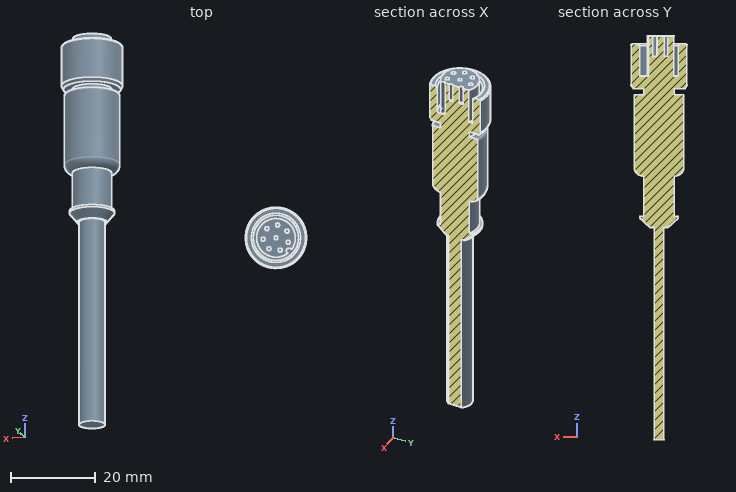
import cadquery as cq


TOTAL_HEIGHT = 95.35
NUT_TOP = 93.5
NUT_BOTTOM = 82.9
GRIP_TOP = 81.5
GRIP_BOTTOM = 62.2
FLANGE_TOP = 52.8
FLANGE_BOTTOM = 52.25
CONE_BOTTOM = 50.1

CABLE_DIAMETER = 6.2
CONE_END_DIAMETER = 7.1
FLANGE_DIAMETER = 10.7
NECK_DIAMETER = 9.3
GRIP_DIAMETER = 13.2
NUT_DIAMETER = 14.5
INSERT_DIAMETER = 9.2

GRIP_TOP_ROUND = 0.3
GRIP_BOTTOM_ROUND = 2.1
NUT_TOP_CHAMFER = 0.3
NUT_BOTTOM_CHAMFER_WIDTH = 0.5
NUT_BOTTOM_CHAMFER_HEIGHT = 0.9

BORE_DIAMETER = 10.7
BORE_DEPTH = 7.6
BORE_CHAMFER = 0.5

CONTACT_COUNT = 7
CONTACT_DIAMETER = 1.0
CENTRE_CONTACT_DIAMETER = 0.9
CONTACT_CIRCLE_DIAMETER = 6.1
FIRST_CONTACT_ANGLE = 83.0
CONTACT_DEPTH = 4.8
NOTCH_WIDTH = 1.3
NOTCH_CENTRE_RADIUS = 4.4
NOTCH_ANGLE = -45.0


def cylinder(diameter, bottom, top):
    """Cylinder about Z between two heights."""
    return cq.Workplane("XY").workplane(offset=bottom).circle(diameter / 2).extrude(top - bottom)


def make_cable_end():
    """Cable, strain-relief cone, flange and the neck running up to the nut."""
    cable = cylinder(CABLE_DIAMETER, 0, CONE_BOTTOM)
    cone = (
        cq.Workplane("XY").workplane(offset=CONE_BOTTOM).circle(CONE_END_DIAMETER / 2)
        .workplane(offset=FLANGE_BOTTOM - CONE_BOTTOM).circle(FLANGE_DIAMETER / 2)
        .loft(ruled=True)
    )
    flange = cylinder(FLANGE_DIAMETER, FLANGE_BOTTOM, FLANGE_TOP)
    neck = cylinder(NECK_DIAMETER, FLANGE_TOP, NUT_BOTTOM)
    return cable.union(cone).union(flange).union(neck)


def make_grip():
    """Moulded grip with a large round at the cable end and a small one at the nut end."""
    grip = cylinder(GRIP_DIAMETER, GRIP_BOTTOM, GRIP_TOP)
    grip = grip.faces("<Z").edges().fillet(GRIP_BOTTOM_ROUND)
    return grip.faces(">Z").edges().fillet(GRIP_TOP_ROUND)


def make_nut():
    """Coupling nut with a chamfered blind bore."""
    nut = cylinder(NUT_DIAMETER, NUT_BOTTOM, NUT_TOP)
    nut = nut.faces(">Z").edges().chamfer(NUT_TOP_CHAMFER)
    bottom_radius = NUT_DIAMETER / 2 - NUT_BOTTOM_CHAMFER_WIDTH
    chamfer_ring = (
        cq.Workplane("XZ")
        .moveTo(bottom_radius, NUT_BOTTOM)
        .lineTo(NUT_DIAMETER / 2, NUT_BOTTOM)
        .lineTo(NUT_DIAMETER / 2, NUT_BOTTOM + NUT_BOTTOM_CHAMFER_HEIGHT)
        .close()
        .revolve(360, (0, 0, 0), (0, 1, 0))
    )
    bore = cylinder(BORE_DIAMETER, NUT_TOP - BORE_DEPTH, NUT_TOP)
    nut = nut.cut(chamfer_ring).cut(bore)
    return nut.faces(">Z").edges(cq.selectors.RadiusNthSelector(0)).chamfer(BORE_CHAMFER)


def make_insert():
    """Contact carrier rising from the bore floor, with contact holes and a coding notch."""
    bore_floor = NUT_TOP - BORE_DEPTH
    insert = cylinder(INSERT_DIAMETER, bore_floor, TOTAL_HEIGHT)

    top = insert.faces(">Z").workplane(origin=(0, 0, TOTAL_HEIGHT))
    insert = top.circle(CENTRE_CONTACT_DIAMETER / 2).cutBlind(-CONTACT_DEPTH)
    contacts = (
        cq.Workplane("XY").workplane(offset=TOTAL_HEIGHT)
        .polarArray(CONTACT_CIRCLE_DIAMETER / 2, FIRST_CONTACT_ANGLE, 360, CONTACT_COUNT)
        .circle(CONTACT_DIAMETER / 2)
        .extrude(-CONTACT_DEPTH)
    )

    notch = (
        cq.Workplane("XY").workplane(offset=bore_floor)
        .moveTo(BORE_DIAMETER / 2, -NOTCH_WIDTH / 2)
        .lineTo(NOTCH_CENTRE_RADIUS, -NOTCH_WIDTH / 2)
        .threePointArc(
            (NOTCH_CENTRE_RADIUS - NOTCH_WIDTH / 2, 0),
            (NOTCH_CENTRE_RADIUS, NOTCH_WIDTH / 2),
        )
        .lineTo(BORE_DIAMETER / 2, NOTCH_WIDTH / 2)
        .close()
        .extrude(TOTAL_HEIGHT - bore_floor)
        .rotate((0, 0, 0), (0, 0, 1), NOTCH_ANGLE)
    )
    return insert.cut(contacts).cut(notch)


result = make_cable_end().union(make_grip()).union(make_nut()).union(make_insert())